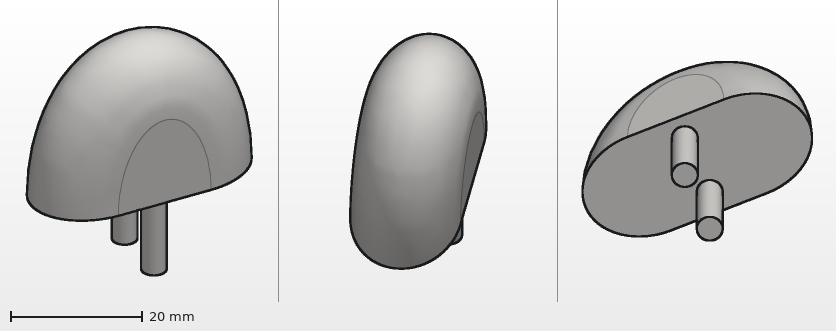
import cadquery as cq
import math

body_width = 17.0
body_length = 36.97
pin_length = 14.0
total_height = 39.5
body_height = total_height - pin_length
flat_length = 16.0
rim_depth = (body_length - flat_length) / 2
flat_height = body_height - rim_depth

pin_diameter = 4.0
pin_spacing = 9.75

fit_tolerance = 0.01
min_degree = 3
max_degree = 8
rim_steps = 24


def rim_point(across, along):
    """Point on the rim: the flat side's ellipse offset along its outward normal.

    Both angles run from 0 to pi, across the width and along the ellipse.
    """
    offset = rim_depth * math.sin(across)
    half_length = flat_length / 2
    normal_y = math.cos(along) / half_length
    normal_z = math.sin(along) / flat_height
    normal_size = math.hypot(normal_y, normal_z)
    return cq.Vector(
        body_width / 2 * math.cos(across),
        half_length * math.cos(along) + offset * normal_y / normal_size,
        flat_height * math.sin(along) + offset * normal_z / normal_size,
    )


def make_body():
    angles = [math.pi * step / rim_steps for step in range(rim_steps + 1)]
    grid = [[rim_point(across, along) for along in angles] for across in angles]
    rim = cq.Face.makeSplineApprox(grid, tol=fit_tolerance, minDeg=min_degree, maxDeg=max_degree)

    edges = cq.Workplane(obj=rim).edges()
    side_edges = [edges.sort(lambda e: e.Center().x).vals()[i] for i in (0, -1)]
    base_edges = [edges.sort(lambda e: e.Center().y).vals()[i] for i in (0, -1)]

    base_lines = [cq.Edge.makeLine(e.startPoint(), e.endPoint()) for e in side_edges]
    sides = [
        cq.Face.makeFromWires(cq.Wire.assembleEdges([edge, line]))
        for edge, line in zip(side_edges, base_lines)
    ]
    base_outline = cq.Wire.combine(base_edges + base_lines)[0]
    base = cq.Face.makeFromWires(base_outline)
    shell = cq.Shell.makeShell([rim, base] + sides)
    return cq.Workplane(obj=cq.Solid.makeSolid(shell))


def make_pins():
    return (
        cq.Workplane("XY")
        .pushPoints([(-pin_spacing / 2, 0), (pin_spacing / 2, 0)])
        .circle(pin_diameter / 2)
        .extrude(-pin_length)
    )


result = make_body().union(make_pins())